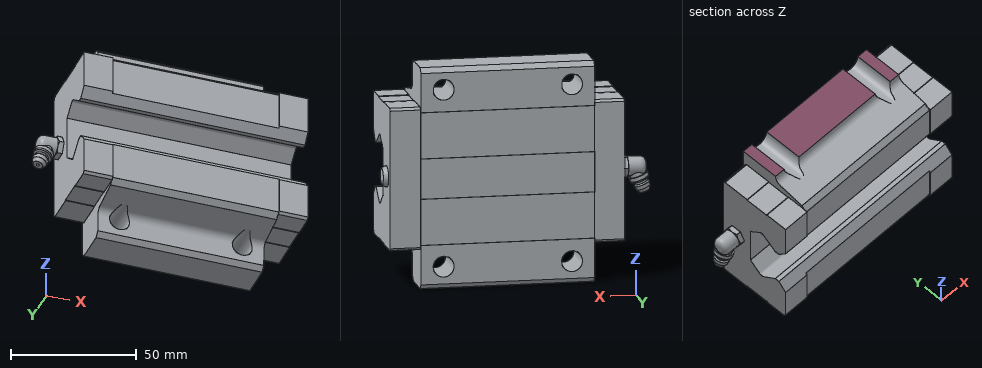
import cadquery as cq
import math


block_length = 70.4
flange_half_width = 45.0
flange_thickness = 18.0
flange_chamfer = 2.0
flange_root_z = 35.4
root_fillet_end = (-20.4, 32.55)
side_taper_end = (-32.6, 30.3)
block_front_y = -34.9
block_front_z = 28.1
root_fillet_sag = 0.42

relief_depth = 0.3
relief_inner_z = 8.2
relief_outer_z = 27.0

hole_diameter = 8.38
hole_pitch_x = 52.0
hole_pitch_z = 72.0

cap_length = 12.3
cap_back_y = -1.0
cap_front_y = -35.5
cap_half_width = 29.0
cap_chamfer = 1.0
groove_top_y = -14.2
groove_bottom_y = -25.0
groove_depth = 0.3

channel_floor = (-16.05, 9.5)
channel_peak_y = (-21.3, -23.3)
channel_peak_z = 14.0
channel_neck_y = (-29.8, -31.8)
channel_neck_z = 8.97
channel_mouth_z = 12.9
peak_rise = 0.25

port_y = -8.15
plug_length = 2.0
plug_base_diameter = 8.38
plug_tip_diameter = 6.6
plug_bulge = 0.2

hex_across_flats = 8.0
hex_length = 2.3
hex_chamfer_angle = 30.0
elbow_diameter = 7.85
elbow_length = 9.9
elbow_rounding = 2.45
fitting_offset = 5.35
fitting_tilt = 22.0
collar_diameter = 6.6
fitting_flange_diameter = 8.0
flange_taper_diameter = 7.5
fitting_neck_diameter = 5.5
fitting_head_diameter = 6.6
fitting_shoulder_diameter = 6.0
fitting_tip_diameter = 4.2
grease_hole_diameter = 1.2
grease_hole_depth = 1.5
flange_start = 3.85
flange_rim_end = 5.4
flange_taper_end = 6.05
flange_end = 6.3
neck_end = 7.2
head_start = 7.8
head_taper_end = 9.4
fitting_end = 11.0

body_half_length = block_length / 2 + cap_length


def extrude_along_x(profile, half_length):
    """Extrude a closed YZ profile equally to both sides of X = 0."""
    return profile.close().extrude(half_length, both=True)


def with_mirror(half):
    """Join a half body with its mirror image about the XY plane."""
    return half.union(half.mirror("XY"))


def make_block():
    fillet_start = (-flange_thickness, flange_root_z)
    mid_y = (fillet_start[0] + root_fillet_end[0]) / 2
    mid_z = (fillet_start[1] + root_fillet_end[1]) / 2
    fillet_middle = (mid_y + root_fillet_sag, mid_z - root_fillet_sag)
    half = (
        cq.Workplane("YZ")
        .moveTo(0, 0)
        .lineTo(0, flange_half_width - flange_chamfer)
        .lineTo(-flange_chamfer, flange_half_width)
        .lineTo(-flange_thickness + flange_chamfer, flange_half_width)
        .lineTo(-flange_thickness, flange_half_width - flange_chamfer)
        .lineTo(*fillet_start)
        .threePointArc(fillet_middle, root_fillet_end)
        .lineTo(*side_taper_end)
        .lineTo(block_front_y, block_front_z)
        .lineTo(block_front_y, 0)
    )
    block = with_mirror(extrude_along_x(half, block_length / 2))
    holes = (
        cq.Workplane("XZ")
        .rect(hole_pitch_x, hole_pitch_z, forConstruction=True)
        .vertices()
        .circle(hole_diameter / 2)
        .extrude(-block_front_y)
    )
    relief = (
        cq.Workplane("YZ")
        .moveTo(0, relief_inner_z)
        .lineTo(0, relief_outer_z)
        .lineTo(-relief_depth, relief_outer_z)
        .lineTo(-relief_depth, relief_inner_z)
    )
    reliefs = with_mirror(extrude_along_x(relief, block_length / 2))
    return block.cut(holes).cut(reliefs)


def make_cap():
    """End cap on the +X end of the block."""
    height = cap_back_y - cap_front_y
    cap = (
        cq.Workplane("YZ", origin=(block_length / 2, 0, 0))
        .center((cap_back_y + cap_front_y) / 2, 0)
        .rect(height, 2 * cap_half_width)
        .extrude(cap_length)
    )
    cap = cap.edges("|X and >Y").chamfer(cap_chamfer)
    cap = cap.edges("|X and <Y and <Z").chamfer(cap_chamfer)
    for side in (1, -1):
        groove = cq.Workplane("XY").box(
            cap_length,
            groove_top_y - groove_bottom_y,
            2 * groove_depth,
        )
        groove = groove.translate((
            block_length / 2 + cap_length / 2,
            (groove_top_y + groove_bottom_y) / 2,
            side * cap_half_width,
        ))
        cap = cap.cut(groove)
    return cap


def make_channel():
    half = (
        cq.Workplane("YZ")
        .moveTo(channel_floor[0], 0)
        .lineTo(*channel_floor)
        .lineTo(channel_peak_y[0], channel_peak_z - peak_rise)
        .threePointArc(
            (sum(channel_peak_y) / 2, channel_peak_z),
            (channel_peak_y[1], channel_peak_z - peak_rise),
        )
        .lineTo(channel_neck_y[0], channel_neck_z)
        .lineTo(channel_neck_y[1], channel_neck_z)
        .lineTo(cap_front_y, channel_mouth_z)
        .lineTo(cap_front_y, 0)
    )
    return with_mirror(extrude_along_x(half, body_half_length))


def make_plug():
    """Domed plug closing the port on the +X end, turned about its axis."""
    base_radius = plug_base_diameter / 2
    tip_radius = plug_tip_diameter / 2
    middle_x = plug_length / 2 + plug_bulge
    middle_radius = (base_radius + tip_radius) / 2 + plug_bulge
    return (
        cq.Workplane("XY")
        .lineTo(0, base_radius)
        .threePointArc((middle_x, middle_radius), (plug_length, tip_radius))
        .lineTo(plug_length, 0)
        .close()
        .revolve(360, (0, 0, 0), (1, 0, 0))
        .translate((body_half_length, port_y, 0))
    )


def make_hexagon():
    """Hexagon with flats facing +-Z, corners bevelled on the outer end."""
    across_corners = hex_across_flats / math.cos(math.pi / 6)
    face_radius = hex_across_flats / 2
    corner_radius = across_corners / 2
    bevel = (corner_radius - face_radius) * math.tan(math.radians(hex_chamfer_angle))
    prism = cq.Workplane("YZ").polygon(6, across_corners).extrude(-hex_length)
    envelope = (
        cq.Workplane("XY")
        .lineTo(0, corner_radius)
        .lineTo(bevel - hex_length, corner_radius)
        .lineTo(-hex_length, face_radius)
        .lineTo(-hex_length, 0)
        .close()
        .revolve(360, (0, 0, 0), (1, 0, 0))
    )
    return prism.intersect(envelope)


def make_fitting():
    """Inclined part of the nipple, turned about Z and pointing down -Z."""
    fitting = (
        cq.Workplane("XZ")
        .lineTo(collar_diameter / 2, 0)
        .lineTo(collar_diameter / 2, -flange_start)
        .lineTo(fitting_flange_diameter / 2, -flange_start)
        .lineTo(fitting_flange_diameter / 2, -flange_rim_end)
        .lineTo(flange_taper_diameter / 2, -flange_taper_end)
        .lineTo(fitting_neck_diameter / 2, -flange_end)
        .lineTo(fitting_neck_diameter / 2, -neck_end)
        .lineTo(fitting_head_diameter / 2, -head_start)
        .lineTo(fitting_shoulder_diameter / 2, -head_taper_end)
        .lineTo(fitting_tip_diameter / 2, -fitting_end)
        .lineTo(0, -fitting_end)
        .close()
        .revolve(360, (0, 0, 0), (0, 1, 0))
    )
    grease_hole = (
        cq.Workplane("XY", origin=(0, 0, -fitting_end))
        .circle(grease_hole_diameter / 2)
        .extrude(grease_hole_depth)
    )
    return fitting.cut(grease_hole)


def make_nipple():
    """Elbow grease nipple on the -X end."""
    elbow = (
        cq.Workplane("YZ")
        .circle(elbow_diameter / 2)
        .extrude(-elbow_length)
        .faces("<X")
        .edges()
        .fillet(elbow_rounding)
    )
    fitting = (
        make_fitting()
        .rotate((0, 0, 0), (0, 1, 0), fitting_tilt)
        .translate((-fitting_offset, 0, 0))
    )
    nipple = make_hexagon().union(elbow).union(fitting)
    return nipple.translate((-body_half_length, port_y, 0))


end_cap = make_cap()
body = make_block().union(end_cap).union(end_cap.mirror("YZ"))
body = body.cut(make_channel())
result = body.union(make_plug()).union(make_nipple())